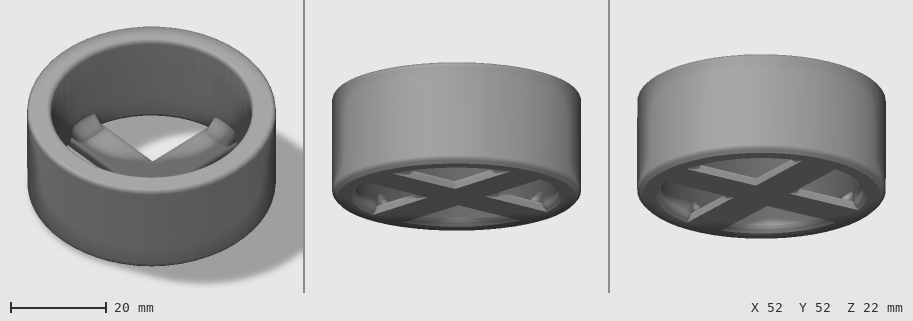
import cadquery as cq

outer_diameter = 52.0
bore_diameter = 42.0
height = 22.0
edge_size = 1.0

arm_width = 8.55
gusset_width = 7.0
arm_thickness = 2.0
arm_rounding = (arm_width - gusset_width) / 2

gusset_leg = 2.95
gusset_count = 4

outer_radius = outer_diameter / 2
bore_radius = bore_diameter / 2
mid_radius = (outer_radius + bore_radius) / 2


def make_ring():
    """Ring with rounded top edges and softened chamfers along its bottom edges."""
    profile = (
        cq.Workplane("XZ")
        .moveTo(bore_radius, edge_size)
        .lineTo(bore_radius + edge_size, 0)
        .lineTo(outer_radius - edge_size, 0)
        .lineTo(outer_radius, edge_size)
        .lineTo(outer_radius, height)
        .lineTo(bore_radius, height)
        .close()
    )
    ring = profile.revolve(360, (0, 0, 0), (0, 1, 0))
    chamfer_tops = cq.selectors.BoxSelector(
        (-outer_diameter, -outer_diameter, edge_size / 2),
        (outer_diameter, outer_diameter, edge_size * 2),
        boundingbox=False,
    )
    rounded_edges = cq.selectors.SumSelector(chamfer_tops, cq.StringSyntaxSelector(">Z"))
    return ring.edges("%CIRCLE").edges(rounded_edges).fillet(edge_size)


def make_cross():
    """Two crossed arms with rounded upper edges, trimmed inside the ring wall."""
    arm_x = cq.Workplane("XY").box(outer_diameter, arm_width, arm_thickness, centered=(True, True, False))
    arm_y = arm_x.rotate((0, 0, 0), (0, 0, 1), 90)
    cross = arm_x.union(arm_y).faces(">Z").edges().fillet(arm_rounding)
    trim = cq.Workplane("XY").circle(mid_radius).extrude(arm_thickness)
    return cross.intersect(trim)


def make_gusset():
    """45 degree wedge on the +X arm, rounded along both sides of its slope."""
    toe = bore_radius - gusset_leg
    rise = mid_radius - toe
    wedge = (
        cq.Workplane("XZ", origin=(0, gusset_width / 2, 0))
        .moveTo(toe - arm_thickness, 0)
        .lineTo(mid_radius, 0)
        .lineTo(mid_radius, arm_thickness + rise)
        .close()
        .extrude(gusset_width)
    )
    wedge = wedge.faces("<(1, 0, -1)").edges("not |Y").fillet(edge_size)
    base = arm_thickness / 2
    keep = cq.Workplane("XY", origin=(0, 0, base)).circle(mid_radius).extrude(height - base)
    return wedge.intersect(keep)


result = make_ring().union(make_cross())
gusset = make_gusset()
for index in range(gusset_count):
    angle = index * 360 / gusset_count
    result = result.union(gusset.rotate((0, 0, 0), (0, 0, 1), angle))